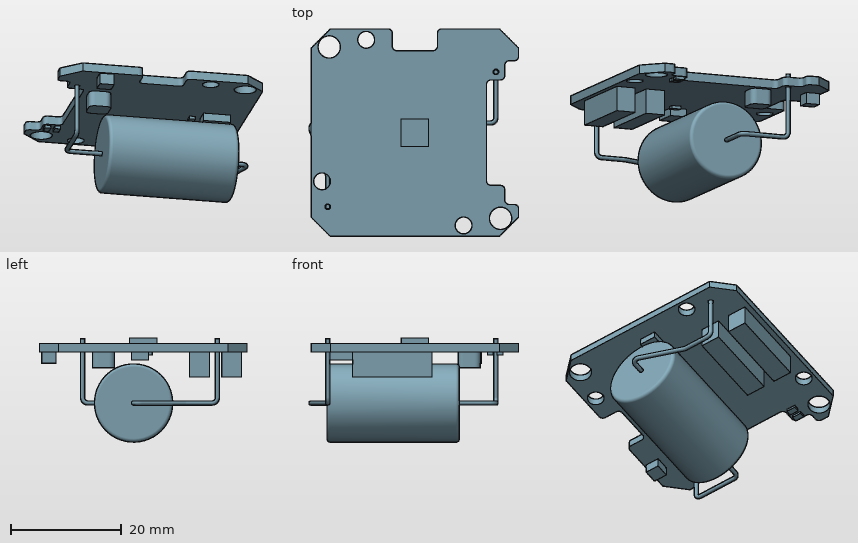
import cadquery as cq
import math


BOARD_SIDE = 37.6
BOARD_THICKNESS = 1.6
BOARD_CORNER_CUT = 3.5
NOTCH_ROUNDING = 0.8
BACK_NOTCH_WIDTH = 8.15
BACK_NOTCH_DEPTH = 3.95
SIDE_NOTCH_DEPTH = 5.8
SIDE_NOTCH_WIDTH = 19.05
SIDE_STEP_DEPTH = 2.5
SIDE_STEP_WIDTH = 26.0

CORNER_HOLE_DIAMETER = 4.0
CORNER_HOLE_OFFSET = 15.5
SMALL_HOLE_DIAMETER = 3.0
SMALL_HOLE_NEAR = 8.8
SMALL_HOLE_FAR = 16.8

CAN_DIAMETER = 14.2
CAN_LENGTH = 23.98
CAN_ROUNDING = 0.6
CAN_LEFT_X = -15.92
CAN_RIGHT_X = CAN_LEFT_X + CAN_LENGTH
CAN_AXIS_Y = 1.75
CAN_AXIS_Z = -9.2

LEAD_DIAMETER = 0.8
LEAD_HOLE_DIAMETER = 1.0
LEAD_BEND_RADIUS = 1.0
LEAD_PROTRUSION = 0.87
LEAD_TOP_Z = BOARD_THICKNESS + LEAD_PROTRUSION
RIGHT_LEAD_X = 14.65
RIGHT_LEAD_Y = 11.0
LEFT_LEAD_X = -15.77
LEFT_LEAD_Y = -13.4
LEFT_LEAD_REACH_X = -19.23
LEFT_LEAD_KINK_Y = -7.75

CHIP_SIDE = 5.0
CHIP_HEIGHT = 1.0

LONG_BLOCK_LENGTH = 14.4
LONG_BLOCK_WIDTH = 3.65
LONG_BLOCK_HEIGHT = 4.5
LONG_BLOCK_X = -4.05
LONG_BLOCK_ROWS_Y = (-16.0, -10.2)

ROUNDED_BLOCK_SIDE = 4.03
ROUNDED_BLOCK_HEIGHT = 2.85
ROUNDED_BLOCK_ROUNDING = 1.0
ROUNDED_BLOCK_X = 9.85
ROUNDED_BLOCK_Y = 7.2

SQUARE_BLOCK_SIDE = 2.62
SQUARE_BLOCK_HEIGHT = 2.0
SQUARE_BLOCK_X = 10.7
SQUARE_BLOCK_Y = 17.05

FLAT_BLOCK_LENGTH = 5.0
FLAT_BLOCK_WIDTH = 3.1
FLAT_BLOCK_HEIGHT = 1.4
FLAT_BLOCK_X = -13.22
FLAT_BLOCK_Y = 0.57

TINY_BLOCK_LENGTH = 1.05
TINY_BLOCK_WIDTH = 1.75
TINY_BLOCK_HEIGHT = 0.55
TINY_BLOCK_CENTRES = ((13.65, -10.95), (15.43, -10.95), (-9.12, -0.8))


def board_outline():
    """Square plate with four cut corners."""
    plate = cq.Workplane("XY").rect(BOARD_SIDE, BOARD_SIDE).extrude(BOARD_THICKNESS)
    return plate.edges("|Z").chamfer(BOARD_CORNER_CUT)


def cut_edge_notches(plate):
    """Cut the notch in the +Y edge and the stepped notch in the +X edge, then round their corners."""
    edge = BOARD_SIDE / 2
    back_notch = cq.Workplane("XY").center(0, edge).rect(BACK_NOTCH_WIDTH, 2 * BACK_NOTCH_DEPTH)
    plate = plate.cut(back_notch.extrude(BOARD_THICKNESS))
    corners = [(x, y) for x in (-BACK_NOTCH_WIDTH / 2, BACK_NOTCH_WIDTH / 2)
               for y in (edge, edge - BACK_NOTCH_DEPTH)]

    steps = ((SIDE_NOTCH_DEPTH, SIDE_NOTCH_WIDTH, SIDE_STEP_DEPTH),
             (SIDE_STEP_DEPTH, SIDE_STEP_WIDTH, 0))
    for depth, width, outer_depth in steps:
        side_notch = cq.Workplane("XY").center(edge, 0).rect(2 * depth, width)
        plate = plate.cut(side_notch.extrude(BOARD_THICKNESS))
        corners += [(x, y) for x in (edge - depth, edge - outer_depth)
                    for y in (-width / 2, width / 2)]

    for x, y in corners:
        nearest = cq.selectors.NearestToPointSelector((x, y, BOARD_THICKNESS / 2))
        plate = plate.edges("|Z").edges(nearest).fillet(NOTCH_ROUNDING)
    return plate


def drill(plate, centres, diameter):
    holes = cq.Workplane("XY").pushPoints(centres).circle(diameter / 2).extrude(BOARD_THICKNESS)
    return plate.cut(holes)


def hanging_block(x, y, length, width, height):
    """Component below the board, centred at (x, y)."""
    return cq.Workplane("XY").center(x, y).rect(length, width).extrude(-height)


def make_board():
    """Circuit board together with the components mounted on it."""
    board = cut_edge_notches(board_outline())
    corner_holes = [(-CORNER_HOLE_OFFSET, CORNER_HOLE_OFFSET), (CORNER_HOLE_OFFSET, -CORNER_HOLE_OFFSET)]
    small_holes = [
        (-SMALL_HOLE_NEAR, SMALL_HOLE_FAR),
        (SMALL_HOLE_NEAR, -SMALL_HOLE_FAR),
        (-SMALL_HOLE_FAR, -SMALL_HOLE_NEAR),
    ]
    lead_holes = [(RIGHT_LEAD_X, RIGHT_LEAD_Y), (LEFT_LEAD_X, LEFT_LEAD_Y)]
    board = drill(board, corner_holes, CORNER_HOLE_DIAMETER)
    board = drill(board, small_holes, SMALL_HOLE_DIAMETER)
    board = drill(board, lead_holes, LEAD_HOLE_DIAMETER)

    chip = cq.Workplane("XY", origin=(0, 0, BOARD_THICKNESS)).rect(CHIP_SIDE, CHIP_SIDE)
    board = board.union(chip.extrude(CHIP_HEIGHT))

    for row_y in LONG_BLOCK_ROWS_Y:
        long_block = hanging_block(
            LONG_BLOCK_X, row_y, LONG_BLOCK_LENGTH, LONG_BLOCK_WIDTH, LONG_BLOCK_HEIGHT
        )
        board = board.union(long_block)

    rounded_block = hanging_block(
        ROUNDED_BLOCK_X, ROUNDED_BLOCK_Y, ROUNDED_BLOCK_SIDE, ROUNDED_BLOCK_SIDE, ROUNDED_BLOCK_HEIGHT
    )
    board = board.union(rounded_block.edges("|Z").fillet(ROUNDED_BLOCK_ROUNDING))

    square_block = hanging_block(
        SQUARE_BLOCK_X, SQUARE_BLOCK_Y, SQUARE_BLOCK_SIDE, SQUARE_BLOCK_SIDE, SQUARE_BLOCK_HEIGHT
    )
    board = board.union(square_block)

    flat_block = hanging_block(
        FLAT_BLOCK_X, FLAT_BLOCK_Y, FLAT_BLOCK_LENGTH, FLAT_BLOCK_WIDTH, FLAT_BLOCK_HEIGHT
    )
    board = board.union(flat_block)

    for x, y in TINY_BLOCK_CENTRES:
        tiny_block = hanging_block(x, y, TINY_BLOCK_LENGTH, TINY_BLOCK_WIDTH, TINY_BLOCK_HEIGHT)
        board = board.union(tiny_block)
    return board


def make_capacitor():
    """Round can lying along X, with rounded rims."""
    can = cq.Workplane("YZ", origin=(CAN_LEFT_X, CAN_AXIS_Y, CAN_AXIS_Z))
    can = can.circle(CAN_DIAMETER / 2).extrude(CAN_LENGTH)
    return can.edges("%CIRCLE").fillet(CAN_ROUNDING)


def make_lead(corners):
    """Round wire along a polyline, with every corner between its ends bent to the bend radius."""
    points = [cq.Vector(*corner) for corner in corners]
    edges = []
    start = points[0]
    for before, corner, after in zip(points, points[1:], points[2:]):
        incoming = (corner - before).normalized()
        outgoing = (after - corner).normalized()
        half_turn = incoming.getAngle(outgoing) / 2
        setback = LEAD_BEND_RADIUS * math.tan(half_turn)
        bend_start = corner - incoming * setback
        bend_end = corner + outgoing * setback
        inward = (outgoing - incoming).normalized()
        bend_middle = corner + inward * (LEAD_BEND_RADIUS / math.cos(half_turn) - LEAD_BEND_RADIUS)
        edges.append(cq.Edge.makeLine(start, bend_start))
        edges.append(cq.Edge.makeThreePointArc(bend_start, bend_middle, bend_end))
        start = bend_end
    edges.append(cq.Edge.makeLine(start, points[-1]))
    path = cq.Workplane("XY").newObject([cq.Wire.assembleEdges(edges)])
    section = cq.Workplane(cq.Plane(points[0], normal=points[1] - points[0]))
    return section.circle(LEAD_DIAMETER / 2).sweep(path)


board = make_board()
capacitor = make_capacitor()
right_lead = make_lead([
    (CAN_RIGHT_X, CAN_AXIS_Y, CAN_AXIS_Z),
    (RIGHT_LEAD_X, CAN_AXIS_Y, CAN_AXIS_Z),
    (RIGHT_LEAD_X, RIGHT_LEAD_Y, CAN_AXIS_Z),
    (RIGHT_LEAD_X, RIGHT_LEAD_Y, LEAD_TOP_Z),
])
left_lead = make_lead([
    (CAN_LEFT_X, CAN_AXIS_Y, CAN_AXIS_Z),
    (LEFT_LEAD_REACH_X, CAN_AXIS_Y, CAN_AXIS_Z),
    (LEFT_LEAD_X, LEFT_LEAD_KINK_Y, CAN_AXIS_Z),
    (LEFT_LEAD_X, LEFT_LEAD_Y, CAN_AXIS_Z),
    (LEFT_LEAD_X, LEFT_LEAD_Y, LEAD_TOP_Z),
])

result = cq.Compound.makeCompound([
    board.val(),
    capacitor.val(),
    right_lead.val(),
    left_lead.val(),
])